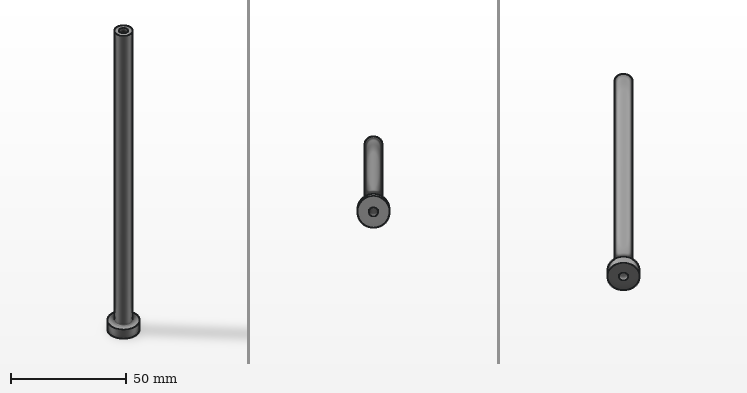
import cadquery as cq

total_length = 160.0
head_diameter = 14.0
head_height = 5.0
shank_diameter = 8.0
bore_diameter = 4.0
root_fillet = 0.5

head_radius = head_diameter / 2
shank_radius = shank_diameter / 2

head = cq.Workplane("XY").circle(head_radius).extrude(head_height)
shank = cq.Workplane("XY").circle(shank_radius).extrude(total_length)
body = head.union(shank)

shank_root = cq.selectors.RadiusNthSelector(0)
top_of_head = body.faces(">Z[-2]")
body = top_of_head.edges(shank_root).fillet(root_fillet)

bore = cq.Workplane("XY").circle(bore_diameter / 2).extrude(total_length)
result = body.cut(bore)